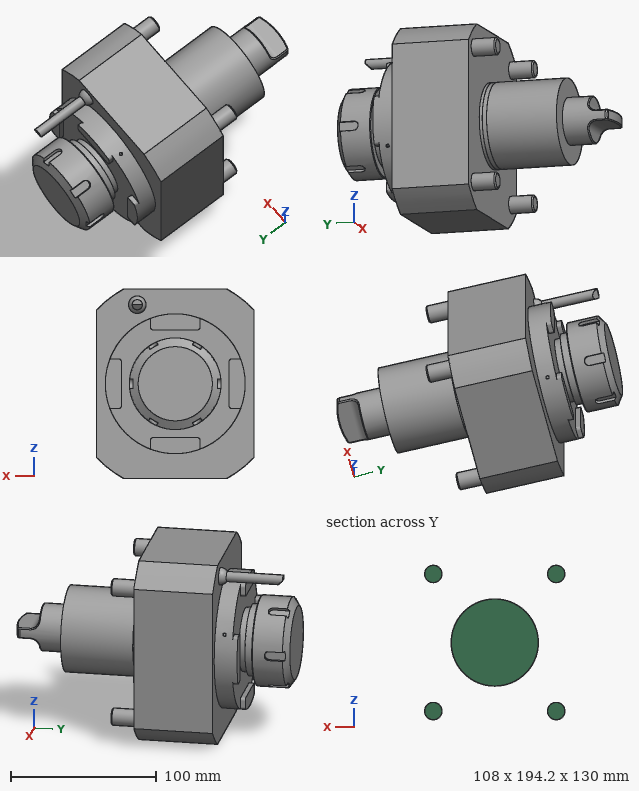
import cadquery as cq
import math


OVERALL_LENGTH = 194.2

BLOCK_WIDTH = 108.0
BLOCK_DEPTH = 55.0
BLOCK_HEIGHT = 130.0
BLOCK_CORNER_DIAMETER = 148.0

SCREW_DIAMETER = 12.0
SCREW_LENGTH = 17.3
SCREW_CHAMFER = 1.0
SCREW_X = 42.1
SCREW_Z = 47.0

BARREL_DIAMETER = 60.0
BARREL_LENGTH = 55.5
GROOVE_DIAMETER = 59.8
GROOVE_START = 2.1
GROOVE_WIDTH = 3.1

SHANK_DIAMETER = 33.0
SHOULDER_DISTANCE = 73.6
TANG_TIP_DISTANCE = 90.7
TANG_THICKNESS = 7.5
TANG_ROOT_RADIUS = 5.8
TANG_DOME_RADIUS = 50.0
TANG_CORNER_CHAMFER = 1.4
TANG_EDGE_CHAMFER = 0.8

FLANGE_DIAMETER = 96.0
FLANGE_THICKNESS = 12.5
LUG_HEIGHT = 3.5
LUG_WIDTH = 34.2
LUG_INNER_DISTANCE = 36.9
LUG_CORNER_RADIUS = 2.04
RADIAL_HOLE_DIAMETER = 2.1
RADIAL_HOLE_DEPTH = 2.0
RADIAL_HOLE_HEIGHT = 6.5
RADIAL_HOLE_ANGLE = 22.5

NECK_DIAMETER = 44.5
COLLAR_DIAMETER = 50.0
COLLAR_START = 72.0
NUT_DIAMETER = 63.0
NUT_START = 77.9
NUT_END = OVERALL_LENGTH - TANG_TIP_DISTANCE
NUT_FACE_DIAMETER = 50.9
NUT_FRONT_CHAMFER_LENGTH = 4.0
NUT_BACK_CHAMFER = 0.5
NUT_SLOT_COUNT = 6
NUT_SLOT_WIDTH = 6.5
NUT_SLOT_FLOOR_RADIUS = 29.1
NUT_SLOT_BOTTOM = 86.8

PIPE_DIAMETER = 7.0
PIPE_END = 99.0
PIPE_TIP_CHAMFER = 3.7
PIPE_X = 26.0
PIPE_Z = 54.2
BALL_DIAMETER = 12.0

FLANGE_TOP = BLOCK_DEPTH + FLANGE_THICKNESS


def cylinder(diameter, y_start, y_end, x=0, z=0):
    """Cylinder along Y between two Y positions."""
    direction = cq.Vector(0, math.copysign(1, y_end - y_start), 0)
    start = cq.Vector(x, y_start, z)
    solid = cq.Solid.makeCylinder(diameter / 2, abs(y_end - y_start), start, direction)
    return cq.Workplane(obj=solid)


def make_block():
    block = cq.Workplane("XY").box(BLOCK_WIDTH, BLOCK_DEPTH, BLOCK_HEIGHT)
    block = block.translate((0, BLOCK_DEPTH / 2, 0))
    return block.intersect(cylinder(BLOCK_CORNER_DIAMETER, 0, BLOCK_DEPTH))


def make_screw(x, z):
    return cylinder(SCREW_DIAMETER, 0, -SCREW_LENGTH, x, z).faces("<Y").chamfer(SCREW_CHAMFER)


def make_barrel():
    groove_end = GROOVE_START + GROOVE_WIDTH
    foot = cylinder(BARREL_DIAMETER, 0, -GROOVE_START)
    groove = cylinder(GROOVE_DIAMETER, -GROOVE_START, -groove_end)
    body = cylinder(BARREL_DIAMETER, -groove_end, -BARREL_LENGTH)
    return foot.union(groove).union(body)


def make_shank():
    dome_x = SHANK_DIAMETER / 2 - TANG_CORNER_CHAMFER
    dome_sagitta = TANG_DOME_RADIUS - math.sqrt(TANG_DOME_RADIUS ** 2 - dome_x ** 2)
    dome_edge_y = dome_sagitta - TANG_TIP_DISTANCE
    slope_end_y = dome_edge_y + SHANK_DIAMETER - dome_x
    side_profile = (
        cq.Workplane("XY")
        .moveTo(-SHANK_DIAMETER, -BARREL_LENGTH)
        .lineTo(SHANK_DIAMETER, -BARREL_LENGTH)
        .lineTo(SHANK_DIAMETER, slope_end_y)
        .lineTo(dome_x, dome_edge_y)
        .threePointArc((0, -TANG_TIP_DISTANCE), (-dome_x, dome_edge_y))
        .lineTo(-SHANK_DIAMETER, slope_end_y)
        .close()
        .extrude(SHANK_DIAMETER, both=True)
    )
    shank = cylinder(SHANK_DIAMETER, -BARREL_LENGTH, -TANG_TIP_DISTANCE).intersect(side_profile)

    tang_z = TANG_THICKNESS / 2
    root_z = tang_z + TANG_ROOT_RADIUS
    root_y = -SHOULDER_DISTANCE - TANG_ROOT_RADIUS
    clearance = (
        cq.Workplane("YZ")
        .moveTo(-SHOULDER_DISTANCE, SHANK_DIAMETER)
        .lineTo(-SHOULDER_DISTANCE, root_z)
        .radiusArc((root_y, tang_z), TANG_ROOT_RADIUS)
        .lineTo(-2 * TANG_TIP_DISTANCE, tang_z)
        .lineTo(-2 * TANG_TIP_DISTANCE, SHANK_DIAMETER)
        .close()
        .extrude(SHANK_DIAMETER, both=True)
    )
    shank = shank.cut(clearance).cut(clearance.mirror("XY"))

    tip_zone = cq.selectors.BoxSelector(
        (-SHANK_DIAMETER, -TANG_TIP_DISTANCE, -SHANK_DIAMETER),
        (SHANK_DIAMETER, -SHOULDER_DISTANCE + TANG_EDGE_CHAMFER, SHANK_DIAMETER),
    )
    rims = shank.edges(tip_zone).edges("not (|X or |Z)")
    return rims.chamfer(TANG_EDGE_CHAMFER)


def make_lug():
    """Lug on the +X side of the flange face."""
    length = FLANGE_DIAMETER / 2 - LUG_INNER_DISTANCE
    lug = (
        cq.Workplane("XY")
        .box(length, LUG_HEIGHT, LUG_WIDTH)
        .translate((LUG_INNER_DISTANCE + length / 2, FLANGE_TOP + LUG_HEIGHT / 2, 0))
        .intersect(cylinder(FLANGE_DIAMETER, FLANGE_TOP, FLANGE_TOP + LUG_HEIGHT))
    )
    return lug.edges("|Y").fillet(LUG_CORNER_RADIUS)


def make_radial_hole():
    """Cutter for a hole pointing along X into the flange rim."""
    rim = FLANGE_DIAMETER / 2
    return (
        cq.Workplane("YZ", origin=(rim - RADIAL_HOLE_DEPTH, BLOCK_DEPTH + RADIAL_HOLE_HEIGHT, 0))
        .circle(RADIAL_HOLE_DIAMETER / 2)
        .extrude(2 * RADIAL_HOLE_DEPTH)
    )


def around_axis(shape, angle):
    return shape.rotate((0, 0, 0), (0, 1, 0), angle)


def make_flange():
    flange = cylinder(FLANGE_DIAMETER, BLOCK_DEPTH, FLANGE_TOP)
    for quarter in range(4):
        angle = quarter * 90
        flange = flange.union(around_axis(make_lug(), angle))
        flange = flange.cut(around_axis(make_radial_hole(), angle - RADIAL_HOLE_ANGLE))
    return flange


def make_nut():
    radius = NUT_DIAMETER / 2
    face_radius = NUT_FACE_DIAMETER / 2
    nut = (
        cq.Workplane("XY")
        .moveTo(0, NUT_START)
        .lineTo(radius - NUT_BACK_CHAMFER, NUT_START)
        .lineTo(radius, NUT_START + NUT_BACK_CHAMFER)
        .lineTo(radius, NUT_END - NUT_FRONT_CHAMFER_LENGTH)
        .lineTo(face_radius, NUT_END)
        .lineTo(0, NUT_END)
        .close()
        .revolve(360, (0, 0, 0), (0, 1, 0))
    )

    half_width = NUT_SLOT_WIDTH / 2
    slot = (
        cq.Workplane("YZ", origin=(NUT_SLOT_FLOOR_RADIUS, 0, 0))
        .moveTo(NUT_END, half_width)
        .lineTo(NUT_SLOT_BOTTOM + half_width, half_width)
        .threePointArc((NUT_SLOT_BOTTOM, 0), (NUT_SLOT_BOTTOM + half_width, -half_width))
        .lineTo(NUT_END, -half_width)
        .close()
        .extrude(radius)
    )
    for index in range(NUT_SLOT_COUNT):
        nut = nut.cut(around_axis(slot, index * 360 / NUT_SLOT_COUNT))
    return nut


def make_coolant_pipe():
    pipe = cylinder(PIPE_DIAMETER, BLOCK_DEPTH, PIPE_END, PIPE_X, PIPE_Z)

    underside = PIPE_Z - PIPE_DIAMETER / 2
    bevel = (
        cq.Workplane("YZ", origin=(PIPE_X, 0, 0))
        .moveTo(PIPE_END, underside)
        .lineTo(PIPE_END - PIPE_TIP_CHAMFER, underside)
        .lineTo(PIPE_END, underside + PIPE_TIP_CHAMFER)
        .close()
        .extrude(PIPE_DIAMETER, both=True)
    )
    ball = cq.Workplane("XY").sphere(BALL_DIAMETER / 2).translate((PIPE_X, BLOCK_DEPTH, PIPE_Z))
    return pipe.cut(bevel).union(ball)


result = make_block()
for x_side in (-1, 1):
    for z_side in (-1, 1):
        result = result.union(make_screw(x_side * SCREW_X, z_side * SCREW_Z))
result = result.union(make_barrel())
result = result.union(make_shank())
result = result.union(make_flange())
result = result.union(cylinder(NECK_DIAMETER, FLANGE_TOP, COLLAR_START))
result = result.union(cylinder(COLLAR_DIAMETER, COLLAR_START, NUT_START))
result = result.union(make_nut())
result = result.union(make_coolant_pipe())